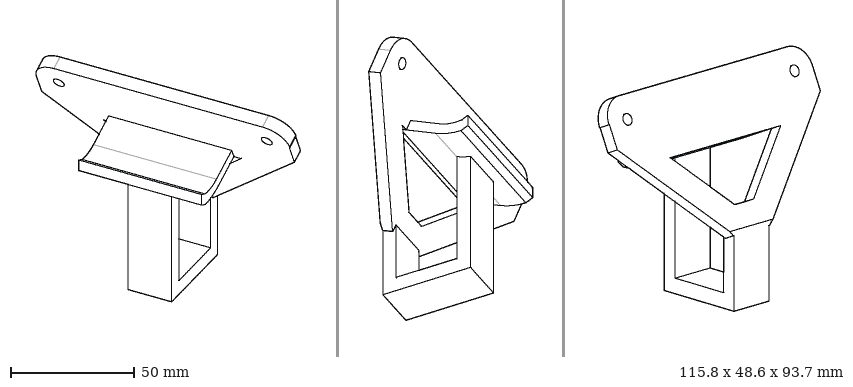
import cadquery as cq
import math


overall_height = 93.69

tilt = 25.0
plate_thickness = 6.0
plate_foot_y = -4.6
plate_foot_z = 30.0
flank_height = 46.5
plate_half_width = 57.75
foot_half_width = 10.3
bulge = 0.28

hole_diameter = 4.82
hole_half_spacing = 47.5
corner_radius = plate_half_width - hole_half_spacing

window_border = 12.0
window_top = 37.5

frame_width = 20.0
frame_depth = 40.2
rear_leg_thickness = 6.0
front_leg_thickness = 6.3
floor_thickness = 6.65

shelf_width = 56.2
shelf_thickness = 4.5
curve_start = (-35.7, 61.8)
curve_end = (-45.7, 60.35)
lower_curve_end = (-45.4, 55.1)
lip_tip_y = -48.58
lip_slope = 25.0

sin_tilt = math.sin(math.radians(tilt))
cos_tilt = math.cos(math.radians(tilt))
tan_tilt = sin_tilt / cos_tilt
plate_height = (overall_height - plate_foot_z - plate_thickness * sin_tilt) / cos_tilt
hole_height = plate_height - corner_radius
downhill = (-cos_tilt, -sin_tilt)


def plate_plane():
    """Front face of the plate: local x along X, local y up the slope, normal to the front."""
    return cq.Plane(
        origin=(0, plate_foot_y, plate_foot_z),
        xDir=(1, 0, 0),
        normal=(0, -cos_tilt, -sin_tilt),
    )


def front_face_z(y):
    """Height of the plate's front face at a given Y."""
    return plate_foot_z + (plate_foot_y - y) / tan_tilt


def extrude_across(profile, width):
    """Extrude a (Y, Z) profile symmetrically about X = 0."""
    return profile.close().extrude(width / 2, both=True)


def make_plate():
    """Tapered plate with rounded upper corners; the +X corner is shifted out by the bulge."""
    diagonal = corner_radius * math.sqrt(0.5)
    right_centre = hole_half_spacing + bulge
    outline = (
        cq.Workplane(plate_plane())
        .moveTo(-foot_half_width, 0)
        .lineTo(foot_half_width, 0)
        .lineTo(plate_half_width, flank_height)
        .lineTo(plate_half_width, hole_height)
        .lineTo(plate_half_width + bulge, hole_height)
        .threePointArc(
            (right_centre + diagonal, hole_height + diagonal),
            (right_centre, plate_height),
        )
        .lineTo(-hole_half_spacing, plate_height)
        .threePointArc(
            (-hole_half_spacing - diagonal, hole_height + diagonal),
            (-plate_half_width, hole_height),
        )
        .lineTo(-plate_half_width, flank_height)
        .close()
    )
    return outline.extrude(-plate_thickness)


def cut_holes(plate):
    holes = (
        cq.Workplane(plate_plane())
        .pushPoints([(-hole_half_spacing, hole_height), (hole_half_spacing, hole_height)])
        .circle(hole_diameter / 2)
        .extrude(-plate_thickness)
    )
    return plate.cut(holes)


def cut_window(plate):
    """Trapezoidal window whose sides run parallel to the flanks."""
    flank_run = (plate_half_width - foot_half_width) / flank_height
    rim_run = window_border * math.hypot(1, flank_run)

    def half_width(height):
        return foot_half_width + flank_run * height - rim_run

    window = (
        cq.Workplane(plate_plane())
        .moveTo(-half_width(window_border), window_border)
        .lineTo(half_width(window_border), window_border)
        .lineTo(half_width(window_top), window_top)
        .lineTo(-half_width(window_top), window_top)
        .close()
        .extrude(-plate_thickness)
    )
    return plate.cut(window)


def trim_rear(plate):
    """Cut off the plate's lower rear edge flush with the rear face of the frame."""
    behind = cq.Workplane("XY").box(
        2 * plate_half_width, plate_thickness, plate_height, centered=(True, False, False)
    )
    return plate.cut(behind)


def make_frame():
    """Rear leg, floor and front leg."""
    rear_top_z = front_face_z(-plate_thickness / cos_tilt)
    rear_inner_y = -rear_leg_thickness
    front_inner_y = front_leg_thickness - frame_depth
    run = front_inner_y - curve_start[0]
    front_top_z = curve_start[1] + run * tan_tilt - shelf_thickness
    profile = (
        cq.Workplane("YZ")
        .moveTo(0, 0)
        .lineTo(0, rear_top_z)
        .lineTo(rear_inner_y, front_face_z(rear_inner_y))
        .lineTo(rear_inner_y, floor_thickness)
        .lineTo(front_inner_y, floor_thickness)
        .lineTo(front_inner_y, front_top_z)
        .lineTo(-frame_depth, front_top_z)
        .lineTo(-frame_depth, 0)
    )
    return extrude_across(profile, frame_width)


def arc_middle(end, start):
    """Middle of the arc that leaves start along the downhill direction and reaches end."""
    dy = end[0] - start[0]
    dz = end[1] - start[1]
    chord = math.hypot(dy, dz)
    half_turn = math.asin((downhill[0] * dz - downhill[1] * dy) / chord)
    sagitta = chord / 2 * math.tan(half_turn / 2)
    return (start[0] + dy / 2 + sagitta * dz / chord, start[1] + dz / 2 - sagitta * dy / chord)


def make_shelf():
    """Shelf square to the plate, rooted in it, curving up into the lip."""
    lower_curve_start = (
        curve_start[0] + shelf_thickness * sin_tilt,
        curve_start[1] - shelf_thickness * cos_tilt,
    )
    gap_y = plate_foot_y - curve_start[0]
    gap_z = plate_foot_z - curve_start[1]
    gap = gap_y * cos_tilt + gap_z * sin_tilt
    root = gap + plate_thickness / 2

    def uphill(point):
        return (point[0] - root * downhill[0], point[1] - root * downhill[1])

    def lip_tip(point):
        rise = (point[0] - lip_tip_y) * math.tan(math.radians(lip_slope))
        return (lip_tip_y, point[1] + rise)

    profile = (
        cq.Workplane("YZ")
        .moveTo(*uphill(curve_start))
        .lineTo(*curve_start)
        .tangentArcPoint(curve_end, relative=False)
        .lineTo(*lip_tip(curve_end))
        .lineTo(*lip_tip(lower_curve_end))
        .lineTo(*lower_curve_end)
        .threePointArc(arc_middle(lower_curve_end, lower_curve_start), lower_curve_start)
        .lineTo(*uphill(lower_curve_start))
    )
    return extrude_across(profile, shelf_width)


plate = trim_rear(cut_window(cut_holes(make_plate())))
result = plate.union(make_frame()).union(make_shelf())